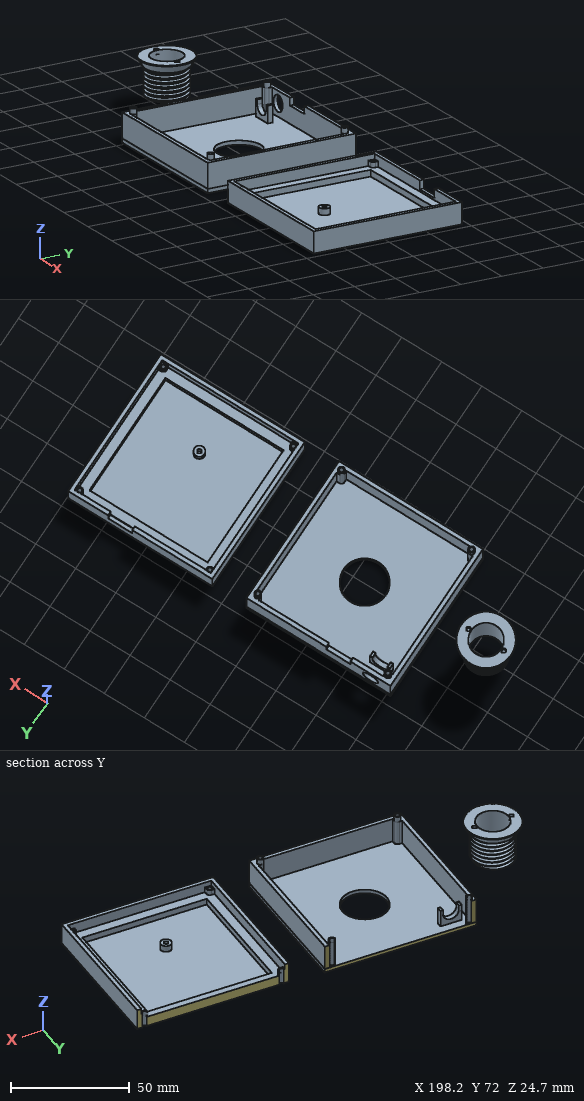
import cadquery as cq
import math

side = 72.0
wall = 2.0
inner_side = side - 2 * wall
post_size = 3.0
screw_hole_dia = 2.0
post_offset = inner_side / 2 - post_size / 2
notch_width = 12.0
notch_from_edge = 20.0

plate_thickness = 2.0
frame_height = 11.7
frame_top = plate_thickness + frame_height
peg_height = 2.5
plate_hole_dia = 21.0
base_notch_depth = 3.5
base_notch_x = -side / 2 + notch_from_edge + notch_width / 2

cable_dia = 7.5
cable_x = -26.0
cable_z = 8.0
saddle_width = 10.0
saddle_length = 2.5
saddle_height = 8.0
saddle_gap = 5.4

cover_x = 89.0
cover_bottom = 1.0
cover_height = 10.0
cover_floor = 2.0
ledge_height = 5.0
pocket_side = 59.0
cover_notch_depth = 4.0
cover_notch_x = side / 2 - notch_from_edge - notch_width / 2
boss_dia = 5.0
boss_hole_dia = 2.0
boss_y = -10.0

plug_x = -60.72
plug_y = 0.1
plug_top = 24.71
bore_dia = 15.0
flange_dia = 25.0
flange_rim = 0.5
cone_height = 3.5
cone_end_dia = 21.0
pitch = 2.0
thread_turns = 7
thread_length = thread_turns * pitch
thread_major_dia = 19.82
thread_minor_dia = 17.53
thread_crest = pitch / 8
thread_embed = 0.3
thread_flank_angle = 30.0
thread_phase = 90.0
key_hole_dia = 2.0
key_hole_radius = 8.8
key_hole_depth = 2.0


def square_block(size, bottom, height):
    """Square block centred on the Z axis."""
    return cq.Workplane("XY").workplane(offset=bottom).rect(size, size).extrude(height)


def cylinder(x, y, diameter, bottom, height):
    """Upright cylinder."""
    return cq.Workplane("XY").workplane(offset=bottom).center(x, y).circle(diameter / 2).extrude(height)


def corners():
    """Sign pairs of the four corners."""
    return [(sx, sy) for sx in (-1, 1) for sy in (-1, 1)]


def corner_post(sx, sy, bottom, height):
    """Post filling a corner, square against the walls and rounded towards the inside."""
    radius = post_size / 2
    bulge = radius * math.sqrt(0.5)
    x = sx * post_offset
    y = sy * post_offset
    outline = (
        cq.Workplane("XY").workplane(offset=bottom)
        .moveTo(x + sx * radius, y + sy * radius)
        .lineTo(x + sx * radius, y - sy * radius)
        .lineTo(x, y - sy * radius)
        .threePointArc((x - sx * bulge, y - sy * bulge), (x - sx * radius, y))
        .lineTo(x - sx * radius, y + sy * radius)
        .close()
    )
    return outline.extrude(height)


def rear_notch(x, top, depth):
    """Cutter for a notch in the top edge of the rear wall."""
    y = side / 2 - wall / 2
    level = cq.Workplane("XY").workplane(offset=top - depth)
    return level.center(x, y).rect(notch_width, wall).extrude(depth)


def cable_bore(front, rear):
    """Cylinder along Y on the cable axis, from y = front to y = rear."""
    plane = cq.Workplane("XZ", origin=(cable_x, rear, cable_z))
    return plane.circle(cable_dia / 2).extrude(rear - front)


def make_plate():
    hole = cylinder(0, 0, plate_hole_dia, 0, plate_thickness)
    return square_block(side, 0, plate_thickness).cut(hole)


def make_frame():
    frame = square_block(side, plate_thickness, frame_height)
    frame = frame.cut(square_block(inner_side, plate_thickness, frame_height))
    for sx, sy in corners():
        x = sx * post_offset
        y = sy * post_offset
        frame = frame.union(corner_post(sx, sy, plate_thickness, frame_height))
        frame = frame.union(cylinder(x, y, post_size, frame_top, peg_height))
        frame = frame.cut(cylinder(x, y, screw_hole_dia, plate_thickness, frame_height + peg_height))
    frame = frame.cut(rear_notch(base_notch_x, frame_top, base_notch_depth))
    return frame.cut(cable_bore(inner_side / 2, side / 2))


def make_saddle():
    rear = inner_side / 2 - saddle_gap
    front = rear - saddle_length
    level = cq.Workplane("XY").workplane(offset=plate_thickness)
    saddle = level.center(cable_x, (front + rear) / 2).rect(saddle_width, saddle_length).extrude(saddle_height)
    slot = cq.Workplane("XY").workplane(offset=cable_z).center(cable_x, (front + rear) / 2)
    slot = slot.rect(cable_dia, saddle_length).extrude(saddle_height)
    return saddle.cut(cable_bore(front, rear)).cut(slot)


def make_cover():
    cover = square_block(side, 0, cover_height)
    cover = cover.cut(square_block(inner_side, ledge_height, cover_height - ledge_height))
    cover = cover.cut(square_block(pocket_side, cover_floor, ledge_height - cover_floor))
    post_height = cover_height - peg_height - ledge_height
    for sx, sy in corners():
        cover = cover.union(corner_post(sx, sy, ledge_height, post_height))
        cover = cover.cut(
            cylinder(sx * post_offset, sy * post_offset, screw_hole_dia, 0, cover_height)
        )
    cover = cover.cut(rear_notch(cover_notch_x, cover_height, cover_notch_depth))
    boss_height = ledge_height - cover_floor
    cover = cover.union(cylinder(0, boss_y, boss_dia, cover_floor, boss_height))
    cover = cover.cut(cylinder(0, boss_y, boss_hole_dia, cover_floor, boss_height))
    return cover.translate((cover_x, 0, cover_bottom))


def threaded_rod():
    """Right-hand threaded rod, trimmed square to the threaded length."""
    root = thread_minor_dia / 2
    depth = (thread_major_dia - thread_minor_dia) / 2
    slope = math.tan(math.radians(thread_flank_angle))
    half_crest = thread_crest / 2
    half_base = half_crest + (depth + thread_embed) * slope
    path = cq.Wire.makeHelix(pitch, thread_length + 2 * pitch, root)
    profile = cq.Workplane("XZ").polyline([
        (root - thread_embed, -half_base),
        (root + depth, -half_crest),
        (root + depth, half_crest),
        (root - thread_embed, half_base),
    ]).close()
    ridge = profile.sweep(cq.Workplane(path), isFrenet=True)
    ridge = ridge.rotate((0, 0, 0), (0, 0, 1), thread_phase).translate((0, 0, -pitch))
    core = cylinder(0, 0, thread_minor_dia, -2 * pitch, thread_length + 4 * pitch)
    return core.union(ridge).intersect(cylinder(0, 0, flange_dia, 0, thread_length))


def make_plug():
    cone_top = thread_length + cone_height
    height = cone_top + flange_rim
    plug = cq.Workplane("XZ").polyline([
        (0, thread_length),
        (cone_end_dia / 2, thread_length),
        (flange_dia / 2, cone_top),
        (flange_dia / 2, height),
        (0, height),
    ]).close().revolve(360, (0, 0, 0), (0, 1, 0))
    plug = plug.union(threaded_rod())
    plug = plug.cut(cylinder(0, 0, bore_dia, 0, height))
    for sx in (-1, 1):
        plug = plug.cut(
            cylinder(sx * key_hole_radius, 0, key_hole_dia, height - key_hole_depth, key_hole_depth)
        )
    return plug.translate((plug_x, plug_y, plug_top - height))


plate = make_plate()
frame = make_frame()
saddle = make_saddle()
cover = make_cover()
plug = make_plug()

result = cq.Compound.makeCompound([
    plate.solids().val(),
    frame.solids().val(),
    saddle.solids().val(),
    cover.solids().val(),
    plug.solids().val(),
])